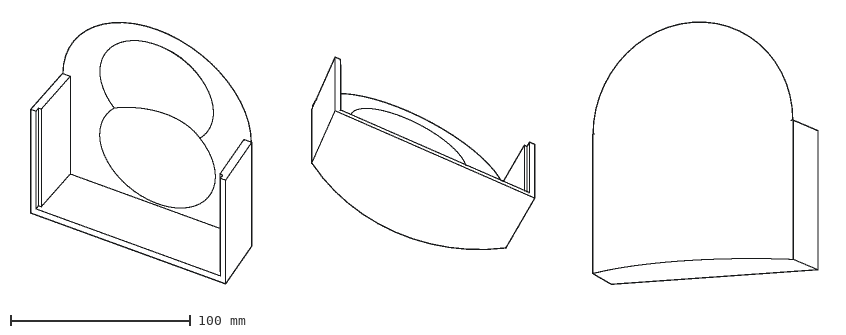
import cadquery as cq
import math

total_height = 138.5
head_radius = 59.6
dome_height = 17.6
box_depth = 34.2
front_half_width = 61.59
back_half_width = 59.9
wall_thickness = 5.0
floor_thickness = 4.7
rebate_half_width = 58.2
rebate_depth = 2.9

hollows = [(-0.3, 90.9, 35.9), (0.3, 42.8, 36.6)]
hollow_depth = 15.2

wall_top = total_height - head_radius


def domed_back():
    """Arched slab below the head centre, closed on top by a half spherical cap."""
    slab = (
        cq.Workplane("XY")
        .moveTo(-head_radius, 0)
        .threePointArc((0, dome_height), (head_radius, 0))
        .close()
        .extrude(wall_top)
    )
    dome_radius = (head_radius**2 + dome_height**2) / (2 * dome_height)
    arc_middle = head_radius / 2
    arc_middle_height = dome_height - dome_radius + math.sqrt(dome_radius**2 - arc_middle**2)
    cap = (
        cq.Workplane("XY")
        .moveTo(0, 0)
        .lineTo(head_radius, 0)
        .threePointArc((arc_middle, arc_middle_height), (0, dome_height))
        .close()
        .revolve(180, (0, 0, 0), (0, -1, 0))
        .translate((0, 0, wall_top))
    )
    return slab.union(cap)


def tapered_block(half_width_back, half_width_front, bottom):
    """Block in front of the flat face, widening toward the open front."""
    return (
        cq.Workplane("XY", origin=(0, 0, bottom))
        .polyline([
            (-half_width_back, 0),
            (half_width_back, 0),
            (half_width_front, -box_depth),
            (-half_width_front, -box_depth),
        ])
        .close()
        .extrude(wall_top - bottom)
    )


def tray():
    """Floor and two leaning side walls, rebated along their front edges."""
    outer = tapered_block(back_half_width, front_half_width, 0)
    inner = tapered_block(
        back_half_width - wall_thickness, front_half_width - wall_thickness, floor_thickness
    )
    rebate = cq.Workplane("XY").box(
        2 * rebate_half_width, rebate_depth, wall_top - floor_thickness, centered=(True, False, False)
    ).translate((0, -box_depth, floor_thickness))
    return outer.cut(inner).cut(rebate)


def hollow(center_x, center_z, rim_radius):
    """Sphere that sinks to the hollow depth and meets the flat face at the rim."""
    radius = (rim_radius**2 + hollow_depth**2) / (2 * hollow_depth)
    return cq.Workplane("XY").sphere(radius).translate((center_x, hollow_depth - radius, center_z))


back = domed_back()
for center_x, center_z, rim_radius in hollows:
    back = back.cut(hollow(center_x, center_z, rim_radius))

result = back.union(tray())